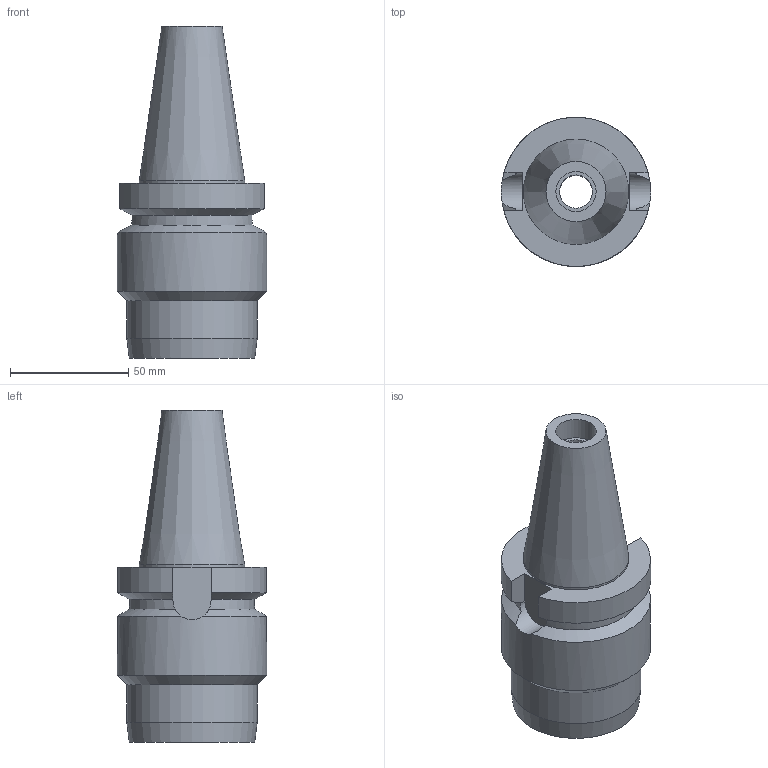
import cadquery as cq
import math


total_height = 140.1
taper_length = 65.4
gauge_z = total_height - taper_length

taper_ratio = 7 / 24
gauge_radius = 44.45 / 2
taper_tip_radius = gauge_radius - taper_length * taper_ratio / 2

flange_radius = 63.0 / 2
flange_gap = 1.0
flange_top_z = gauge_z - flange_gap
groove_depth_below_gauge = 16.6
groove_centre_z = gauge_z - groove_depth_below_gauge
groove_floor_radius = 53.0 / 2
groove_floor_width = 4.1
groove_side_angle = 30.0
groove_side_height = (flange_radius - groove_floor_radius) * math.tan(math.radians(groove_side_angle))
groove_floor_bottom_z = groove_centre_z - groove_floor_width / 2
groove_floor_top_z = groove_centre_z + groove_floor_width / 2

nose_radius = 55.0 / 2
nose_tip_radius = 53.0 / 2
nose_taper_height = 8.3
body_bottom_z = 28.2
body_chamfer = flange_radius - nose_radius

slot_width = 16.1
slot_floor_x = 22.5
slot_bottom_z = 51.6

bore_diameter = 14.0
counterbore_diameter = 17.0
counterbore_depth = 9.5


def make_body():
    """Turned outer shape, revolved from its half profile."""
    half_profile = [
        (0, 0),
        (nose_tip_radius, 0),
        (nose_radius, nose_taper_height),
        (nose_radius, body_bottom_z - body_chamfer),
        (flange_radius, body_bottom_z),
        (flange_radius, groove_floor_bottom_z - groove_side_height),
        (groove_floor_radius, groove_floor_bottom_z),
        (groove_floor_radius, groove_floor_top_z),
        (flange_radius, groove_floor_top_z + groove_side_height),
        (flange_radius, flange_top_z),
        (gauge_radius, flange_top_z),
        (gauge_radius, gauge_z),
        (taper_tip_radius, total_height),
        (0, total_height),
    ]
    return cq.Workplane("XZ").polyline(half_profile).close().revolve(360, (0, 0, 0), (0, 1, 0))


def make_drive_slot(side):
    """Round-bottomed slot cutter, open upward and outward, on the +X (1) or -X (-1) side."""
    half_width = slot_width / 2
    arc_centre_z = slot_bottom_z + half_width
    return (
        cq.Workplane("YZ", origin=(side * slot_floor_x, 0, 0))
        .moveTo(-half_width, flange_top_z)
        .lineTo(-half_width, arc_centre_z)
        .threePointArc((0, slot_bottom_z), (half_width, arc_centre_z))
        .lineTo(half_width, flange_top_z)
        .close()
        .extrude(side * flange_radius)
    )


def cut_bore(body):
    """Through bore with a counterbore at the small end of the taper."""
    return body.faces(">Z").workplane().cboreHole(bore_diameter, counterbore_diameter, counterbore_depth)


result = make_body()
for slot_side in (-1, 1):
    result = result.cut(make_drive_slot(slot_side))
result = cut_bore(result)